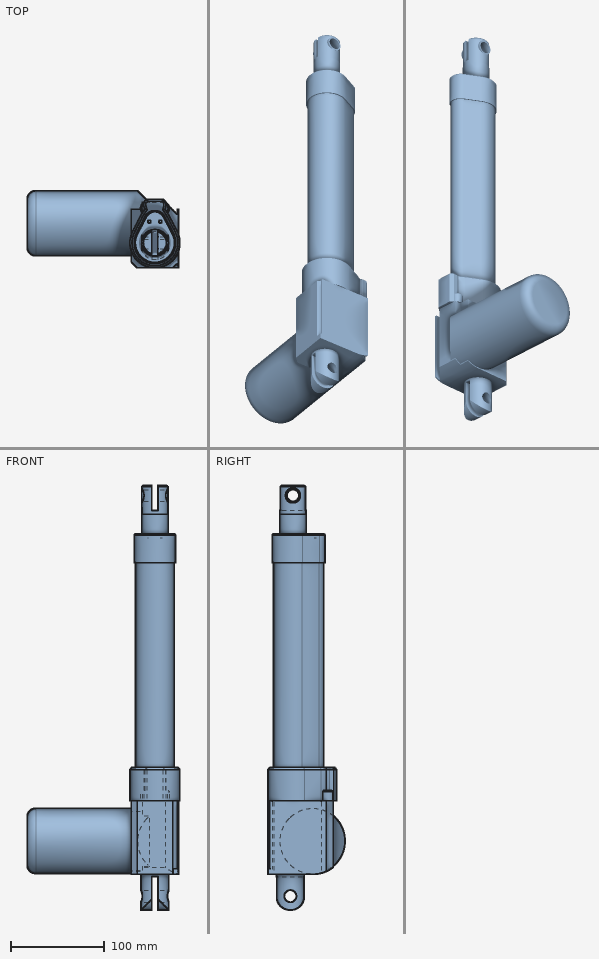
import cadquery as cq
import math

TOTAL_HEIGHT = 454.5

BLOCK_BOTTOM = 38.0
BLOCK_TOP = 117.0
BLOCK_HALF_WIDTH = 25.5
BLOCK_FRONT = -27.0
BLOCK_SIDE_BACK = 36.0
BLOCK_REAR = 43.0
REAR_PAD_HALF_WIDTH = 13.5
FRONT_CHAMFER = 6.5
REAR_CHAMFER = 14.5
COVER_THICKNESS = 2.0
COVER_SETBACK = 2.3
EAR_HEIGHT = 6.5
EAR_WIDTH = 6.0

MOTOR_RADIUS = 35.0
MOTOR_Y = 21.0
MOTOR_Z = 74.0
MOTOR_END = -137.0
MOTOR_SHOULDER = -18.5
MOTOR_FILLET = 9.5

COLLAR_RADIUS = 27.0
COLLAR_TOP = 152.5
COLLAR_CHAMFER = 2.3
COLLAR_SHOULDER_Y = 30.0
TAB_HALF_WIDTH = 12.0
TAB_WAIST = 11.0
TAB_NOTCH_Y = 36.0
TAB_HEAD_Y = 39.0
TAB_BACK = 47.0
TAB_CORNER = 3.0
SCREW_X = 8.5
SCREW_Y = 37.0
SCREW_RADIUS = 7.0
SCREW_TOP = 128.0
SCREW_CHAMFER = 1.5

TUBE_FRONT_RADIUS = 21.0
TUBE_REAR_RADIUS = 10.5
TUBE_REAR_CENTER_Y = 22.5
CAP_OVERHANG = 1.5
CAP_BOTTOM = 372.0
CAP_TOP = 402.5
CAP_CHAMFER = 1.5
PIN_HOLE_DIAMETER = 3.25
PIN_HOLE_X = 6.0
PIN_HOLE_Y = 22.5
PIN_HOLE_DEPTH = 4.5

ROD_DIAMETER = 28.5
ROD_TOP = 423.5
EYE_DIAMETER = 28.0
EYE_CHAMFER = 2.0
EYE_SLOT_BOTTOM = 427.5
EYE_HOLE_Z = 443.5
EYE_BUSH_DIAMETER = 16.0

MOUNT_RADIUS = 15.0
MOUNT_Y = -2.5
MOUNT_SLOT_TOP = 36.0

FORK_SLOT_WIDTH = 6.5
FORK_HOLE_DIAMETER = 12.5

FLANK_ANGLE = math.asin((TUBE_FRONT_RADIUS - TUBE_REAR_RADIUS) / TUBE_REAR_CENTER_Y)
FLANK_COS = math.cos(FLANK_ANGLE)
FLANK_SIN = math.sin(FLANK_ANGLE)


def box(x_range, y_range, z_range):
    size = [end - start for start, end in (x_range, y_range, z_range)]
    return cq.Workplane("XY").box(*size, centered=False).translate((x_range[0], y_range[0], z_range[0]))


def cylinder(diameter, x, y, bottom, top):
    """Upright cylinder."""
    return cq.Workplane("XY", origin=(x, y, bottom)).circle(diameter / 2).extrude(top - bottom)


def cross_pin(diameter, y, z):
    """Cylinder along X, long enough to pass through either fork."""
    return cq.Workplane("YZ").center(y, z).circle(diameter / 2).extrude(2 * MOUNT_RADIUS, both=True)


def fork_slot(y, bottom, top):
    """Slot cutter that splits a fork into two legs along X."""
    half_slot = FORK_SLOT_WIDTH / 2
    return box((-half_slot, half_slot), (y - 2 * MOUNT_RADIUS, y + 2 * MOUNT_RADIUS), (bottom, top))


def tear_drop(overhang, bottom, top):
    """Large front arc and small rear arc joined by tangent flanks."""
    front = TUBE_FRONT_RADIUS + overhang
    rear = TUBE_REAR_RADIUS + overhang
    rear_x = rear * FLANK_COS
    rear_y = TUBE_REAR_CENTER_Y + rear * FLANK_SIN
    return (
        cq.Workplane("XY", origin=(0, 0, bottom))
        .moveTo(front * FLANK_COS, front * FLANK_SIN)
        .lineTo(rear_x, rear_y)
        .threePointArc((0, TUBE_REAR_CENTER_Y + rear), (-rear_x, rear_y))
        .lineTo(-front * FLANK_COS, front * FLANK_SIN)
        .threePointArc((0, -front), (front * FLANK_COS, front * FLANK_SIN))
        .close()
        .extrude(top - bottom)
    )


def make_block():
    side = BLOCK_HALF_WIDTH
    outline = [
        (-side, BLOCK_FRONT + FRONT_CHAMFER),
        (-side + FRONT_CHAMFER, BLOCK_FRONT),
        (side - FRONT_CHAMFER, BLOCK_FRONT),
        (side, BLOCK_FRONT + FRONT_CHAMFER),
        (side, BLOCK_REAR - REAR_CHAMFER),
        (side - REAR_CHAMFER, BLOCK_REAR),
        (-REAR_PAD_HALF_WIDTH, BLOCK_REAR),
        (-REAR_PAD_HALF_WIDTH, BLOCK_SIDE_BACK),
        (-side, BLOCK_SIDE_BACK),
    ]
    body = cq.Workplane("XY", origin=(0, 0, BLOCK_BOTTOM)).polyline(outline).close()
    block = body.extrude(BLOCK_TOP - BLOCK_BOTTOM)
    cover_y = (BLOCK_FRONT + COVER_SETBACK, BLOCK_SIDE_BACK)
    block = block.union(box((side - COVER_THICKNESS, side), cover_y, (BLOCK_BOTTOM, BLOCK_TOP)))
    ear_y = (BLOCK_FRONT, BLOCK_FRONT + FRONT_CHAMFER)
    ear = box((side - EAR_WIDTH, side), ear_y, (BLOCK_BOTTOM, BLOCK_BOTTOM + EAR_HEIGHT))
    block = block.union(ear)
    round_radius = MOTOR_Z - BLOCK_BOTTOM
    rear_edge = box((-side, side), (MOTOR_Y, BLOCK_REAR), (BLOCK_BOTTOM, MOTOR_Z))
    rounding = cq.Workplane("YZ").center(MOTOR_Y, MOTOR_Z).circle(round_radius).extrude(side, both=True)
    return block.cut(rear_edge.cut(rounding))


def make_motor():
    """Can with a rounded end, cut off at 45 degrees where it runs into the block."""
    tip = MOTOR_SHOULDER + 2 * MOTOR_RADIUS
    top = MOTOR_Y + MOTOR_RADIUS
    bottom = MOTOR_Y - MOTOR_RADIUS
    can = (
        cq.Workplane("YZ", origin=(MOTOR_END, MOTOR_Y, MOTOR_Z))
        .circle(MOTOR_RADIUS)
        .extrude(BLOCK_HALF_WIDTH - COVER_THICKNESS - MOTOR_END)
        .faces("<X")
        .edges()
        .fillet(MOTOR_FILLET)
    )
    corner = (
        cq.Workplane("XY")
        .polyline([(MOTOR_SHOULDER, top), (tip, top), (tip, bottom)])
        .close()
        .extrude(MOTOR_Z + MOTOR_RADIUS)
    )
    return can.cut(corner)


def make_collar():
    """Round front, tangent flanks and a waisted rear tab, with two screw heads."""
    tangent_x = COLLAR_RADIUS * FLANK_COS
    tangent_y = COLLAR_RADIUS * FLANK_SIN
    shoulder_x = (COLLAR_RADIUS - COLLAR_SHOULDER_Y * FLANK_SIN) / FLANK_COS
    right_side = [
        (tangent_x, tangent_y),
        (shoulder_x, COLLAR_SHOULDER_Y),
        (TAB_WAIST, TAB_NOTCH_Y),
        (TAB_HALF_WIDTH, TAB_HEAD_Y),
        (TAB_HALF_WIDTH, TAB_BACK - TAB_CORNER),
        (TAB_HALF_WIDTH - TAB_CORNER, TAB_BACK),
    ]
    left_side = [(-x, y) for x, y in reversed(right_side)]
    collar = (
        cq.Workplane("XY", origin=(0, 0, BLOCK_TOP))
        .polyline(right_side + left_side)
        .threePointArc((0, -COLLAR_RADIUS), right_side[0])
        .close()
        .extrude(COLLAR_TOP - BLOCK_TOP)
        .faces(">Z")
        .chamfer(COLLAR_CHAMFER)
    )
    for x in (-SCREW_X, SCREW_X):
        screw = cylinder(2 * SCREW_RADIUS, x, SCREW_Y, BLOCK_TOP, SCREW_TOP)
        collar = collar.union(screw.faces(">Z").chamfer(SCREW_CHAMFER))
    return collar


def make_tube():
    cap = tear_drop(CAP_OVERHANG, CAP_BOTTOM, CAP_TOP).faces(">Z").chamfer(CAP_CHAMFER)
    tube = tear_drop(0, BLOCK_TOP, CAP_BOTTOM).union(cap)
    for x in (-PIN_HOLE_X, PIN_HOLE_X):
        tube = tube.cut(cylinder(PIN_HOLE_DIAMETER, x, PIN_HOLE_Y, CAP_TOP - PIN_HOLE_DEPTH, CAP_TOP))
    return tube


def make_rod():
    rod = cylinder(ROD_DIAMETER, 0, 0, CAP_TOP, ROD_TOP)
    eye = cylinder(EYE_DIAMETER, 0, 0, ROD_TOP, TOTAL_HEIGHT).faces(">Z").chamfer(EYE_CHAMFER)
    half_bush = EYE_DIAMETER / 2
    bush = cq.Workplane("YZ").center(0, EYE_HOLE_Z).circle(EYE_BUSH_DIAMETER / 2)
    bush = bush.extrude(half_bush, both=True)
    eye = eye.union(bush)
    eye = eye.cut(fork_slot(0, EYE_SLOT_BOTTOM, TOTAL_HEIGHT))
    eye = eye.cut(cross_pin(FORK_HOLE_DIAMETER, 0, EYE_HOLE_Z))
    return rod.union(eye)


def make_rear_mount():
    """Round stud whose lower end is rounded about the cross hole."""
    stud = cylinder(2 * MOUNT_RADIUS, 0, MOUNT_Y, MOUNT_RADIUS, BLOCK_BOTTOM)
    rounded_end = cylinder(2 * MOUNT_RADIUS, 0, MOUNT_Y, 0, MOUNT_RADIUS)
    rounded_end = rounded_end.intersect(cross_pin(2 * MOUNT_RADIUS, MOUNT_Y, MOUNT_RADIUS))
    mount = stud.union(rounded_end).cut(fork_slot(MOUNT_Y, 0, MOUNT_SLOT_TOP))
    return mount.cut(cross_pin(FORK_HOLE_DIAMETER, MOUNT_Y, MOUNT_RADIUS))


result = (
    make_block()
    .union(make_motor())
    .union(make_collar())
    .union(make_tube())
    .union(make_rod())
    .union(make_rear_mount())
)